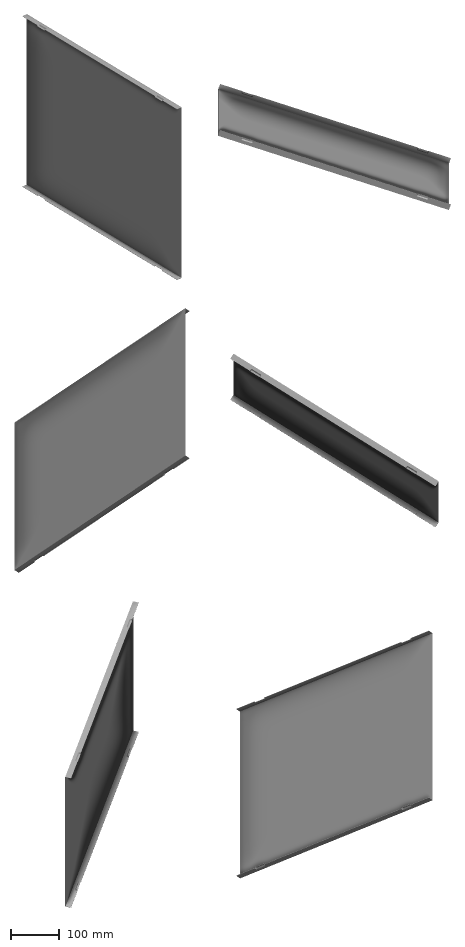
import cadquery as cq

length = 500.0
depth = 12.5
height = 404.5
sheet = 0.8

dent_offset = 190.0
dent_drop = 2.5
dent_mouth_length = 25.0
dent_mouth_reach = 5.5
dent_floor_length = 22.0
dent_floor_reach = 3.5
dent_corner_radius = 2.5

front_y = -depth / 2
top_z = height / 2


def channel():
    """Flat web along the back with a flange along the top and bottom."""
    outer = cq.Workplane("XY").box(length, depth, height)
    hollow = cq.Workplane("XY").box(length, depth, height - 2 * sheet)
    return outer.cut(hollow.translate((0, -sheet, 0)))


def dent_form(x, surface_z):
    """Tapered form sinking from surface_z, centred on the top flange's free edge."""
    mouth = cq.Sketch().rect(dent_mouth_length, 2 * dent_mouth_reach)
    floor = cq.Sketch().rect(dent_floor_length, 2 * dent_floor_reach)
    return (
        cq.Workplane("XY", origin=(x, front_y, surface_z))
        .placeSketch(
            mouth.vertices().fillet(dent_corner_radius),
            floor.vertices().fillet(dent_corner_radius).moved(cq.Location(cq.Vector(0, 0, -dent_drop))),
        )
        .loft(ruled=True)
    )


def add_dents(panel):
    """Press matching dents into the top and bottom flanges."""
    envelope = cq.Workplane("XY").box(length, depth, height)
    for x in (-dent_offset, dent_offset):
        bulge = dent_form(x, top_z - sheet).intersect(envelope)
        recess = dent_form(x, top_z)
        panel = panel.union(bulge).union(bulge.mirror("XY"))
        panel = panel.cut(recess).cut(recess.mirror("XY"))
    return panel


result = add_dents(channel())